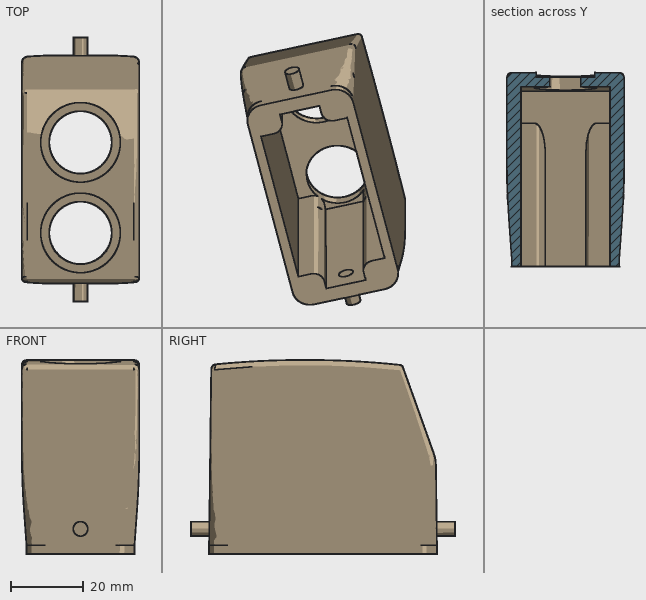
import cadquery as cq
import math


rim_width = 29.9
body_width = 32.5
rim_height = 2.5
flare_angle = 4.1
flare_end_z = 12.3
flank_end_z = 29.0

length = 63.0
wall_draft = 0.7
slope_start_z = 26.2
slope_angle = 19.7
bend_radius = 10.0

roof_z = 53.7
roof_radius = 250.0
roof_edge_radius = 1.5
roof_back_edge_radius = 1.2

rim_corner_radius = 5.0
flare_corner_radius = 3.25
bend_corner_z = 24.5
bend_corner_radius = 1.65
flank_corner_radius = 1.45
top_corner_radius = 1.0

entry_pitch = 25.0
entry_center_y = -5.0
entry_diameter = 17.2
seat_diameter = 22.0
seat_z = 52.4

wall = 4.0
post_radius = 3.0
post_size_x = 6.65
post_size_y = 5.35

peg_diameter = 4.0
peg_z = 7.0
peg_reach = 36.5

half_length = length / 2
clearance = 10.0


def side_profile(inset):
    """Corner points of the hood outline in YZ, with every wall moved inwards by `inset`."""
    draft = math.tan(math.radians(wall_draft))
    slope = math.tan(math.radians(slope_angle))
    radius = roof_radius - inset
    center_z = roof_z - roof_radius
    base_y = half_length - inset

    def wall_y(z):
        return base_y - (z - rim_height) * draft

    slope_foot_y = half_length - (slope_start_z - rim_height) * draft
    slope_shift = inset / math.cos(math.radians(slope_angle))

    def slope_y(z):
        return slope_foot_y - slope_shift - (z - slope_start_z) * slope

    substitutions = 20
    front_z = roof_z
    back_z = roof_z
    for _ in range(substitutions):
        front_z = center_z + math.sqrt(radius**2 - (-wall_y(front_z) - entry_center_y) ** 2)
        back_z = center_z + math.sqrt(radius**2 - (slope_y(back_z) - entry_center_y) ** 2)

    foot_z = slope_start_z - (slope_foot_y - slope_shift - wall_y(slope_start_z)) / (draft - slope)
    return {
        "front": (-wall_y(front_z), front_z),
        "roof": (entry_center_y, center_z + radius),
        "back": (slope_y(back_z), back_z),
        "foot": (wall_y(foot_z), foot_z),
        "base": base_y,
    }


def side_prism(inset, base_z, width):
    """The hood outline from base_z up, swept across X, with its bend at the slope rounded."""
    outline = side_profile(inset)
    prism = (
        cq.Workplane("YZ")
        .moveTo(-outline["base"], base_z)
        .lineTo(*outline["front"])
        .threePointArc(outline["roof"], outline["back"])
        .lineTo(*outline["foot"])
        .lineTo(outline["base"], base_z)
        .close()
        .extrude(width / 2, both=True)
    )
    foot_edge = cq.NearestToPointSelector((0, *outline["foot"]))
    return prism.edges(foot_edge).fillet(bend_radius - inset)


def flank_prism():
    """Cross-section in XZ above the rim: a straight flare, a tangent arc, then vertical sides."""
    rise = flank_end_z - flare_end_z
    rim_x = rim_width / 2
    body_x = body_width / 2
    angle = math.radians(flare_angle)
    arc_start_x = body_x - rise * math.tan(angle / 2)
    radius = rise / math.sin(angle)
    arc_mid = (
        body_x - radius * (1 - math.cos(angle / 2)),
        flank_end_z - radius * math.sin(angle / 2),
    )
    return (
        cq.Workplane("XZ")
        .moveTo(0, rim_height)
        .lineTo(rim_x, rim_height)
        .lineTo(arc_start_x, flare_end_z)
        .threePointArc(arc_mid, (body_x, flank_end_z))
        .lineTo(body_x, roof_z + clearance)
        .lineTo(0, roof_z + clearance)
        .mirrorY()
        .extrude(length, both=True)
    )


def corner_radius(z):
    """Radius of the upright corners at height z, changing evenly between the levels."""
    levels = [
        (rim_height, rim_corner_radius),
        (flare_end_z, flare_corner_radius),
        (bend_corner_z, bend_corner_radius),
        (flank_end_z, flank_corner_radius),
        (roof_z, top_corner_radius),
    ]
    for (low_z, low_radius), (high_z, high_radius) in zip(levels, levels[1:]):
        if z <= high_z:
            return low_radius + (high_radius - low_radius) * (z - low_z) / (high_z - low_z)
    return top_corner_radius


def round_edges(body):
    """Round each roof edge evenly and the upright corners with a radius that changes with height."""
    shapes = cq.occ_impl.shapes
    fillet = shapes.BRepFilletAPI_MakeFillet(body.val().wrapped)
    for edge in body.edges("not (|X or |Y or >Z)").vals():
        fillet.Add(edge.wrapped)
    for chain in range(1, fillet.NbContours() + 1):
        first_z = cq.Vertex(fillet.FirstVertex(chain)).Z
        last_z = cq.Vertex(fillet.LastVertex(chain)).Z
        for index in range(1, fillet.NbEdges(chain) + 1):
            edge = cq.Edge(fillet.Edge(chain, index))
            heights = sorted(
                [edge.startPoint().z, edge.endPoint().z],
                reverse=first_z > last_z,
            )
            fillet.SetRadius(corner_radius(heights[0]), corner_radius(heights[1]), chain, index)
    roof_edges = body.faces(">Z").edges()
    for edge in roof_edges.edges("not >Y").vals():
        fillet.Add(roof_edge_radius, edge.wrapped)
    fillet.Add(roof_back_edge_radius, roof_edges.edges(">Y").val().wrapped)
    return cq.Workplane(cq.Shape.cast(fillet.Shape()))


def make_outside():
    """Tapered, rounded body standing on a straight rim."""
    body = side_prism(0, rim_height, body_width + clearance).intersect(flank_prism())
    body = cq.Workplane(body.val().Solids()[0])
    rim = (
        cq.Workplane("XY")
        .rect(rim_width, length)
        .extrude(rim_height)
        .edges("|Z")
        .fillet(rim_corner_radius)
    )
    return round_edges(body).union(rim)


def make_cavity():
    """Room inside the walls, less a round-edged post in each corner."""
    cavity_width = body_width - 2 * wall
    cavity_length = length - 2 * wall
    posts = (
        cq.Workplane("XY")
        .rect(cavity_width, cavity_length, forConstruction=True)
        .vertices()
        .rect(2 * post_size_x, 2 * post_size_y)
        .extrude(roof_z)
        .edges("|Z")
        .fillet(post_radius)
    )
    return side_prism(wall, 0, cavity_width).cut(posts)


def make_entries():
    """Round cable entries, each with a flat seat sunk into the arched roof."""
    centers = [(0, entry_center_y + side * entry_pitch / 2) for side in (-1, 1)]
    seats = cq.Workplane("XY", origin=(0, 0, seat_z)).pushPoints(centers)
    holes = cq.Workplane("XY", origin=(0, 0, seat_z - clearance)).pushPoints(centers)
    return (
        seats.circle(seat_diameter / 2)
        .extrude(clearance)
        .union(holes.circle(entry_diameter / 2).extrude(2 * clearance))
    )


def make_peg(side):
    """Peg from the inner face of an end wall outwards; side is -1 at the front, 1 at the back."""
    peg_start = half_length - wall
    return (
        cq.Workplane("XZ", origin=(0, side * peg_start, peg_z))
        .circle(peg_diameter / 2)
        .extrude(-side * (peg_reach - peg_start))
    )


def make_housing(pressed_peg, cast_peg):
    """Hollow hood with one peg cast on and a bore for the other."""
    return make_outside().cut(make_cavity()).cut(make_entries()).union(cast_peg).cut(pressed_peg)


peg = make_peg(-1)
housing = make_housing(peg, make_peg(1))

result = cq.Compound.makeCompound([housing.solids().val(), peg.val()])